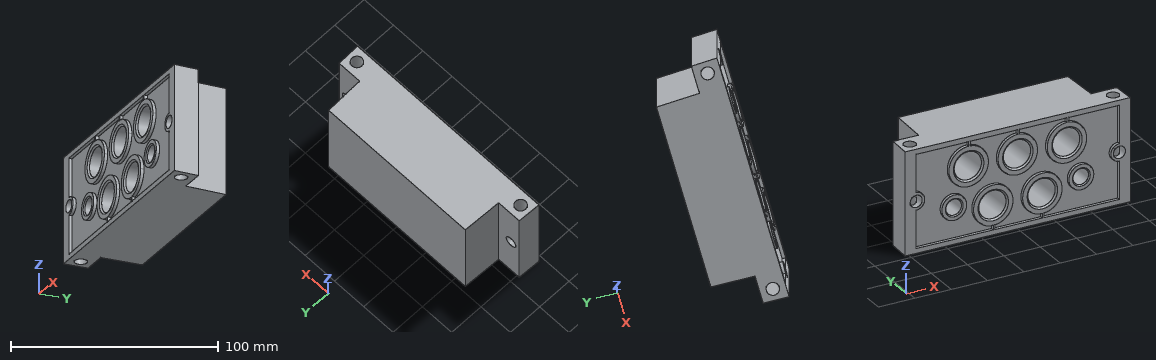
import cadquery as cq
import math

length = 124.0
depth = 35.0
height = 56.0
flange_depth = 13.0
body_length = 95.0
draft_angle = 2.0

rim_height = 2.7
recess_length = 111.8
recess_height = height - 2 * rim_height
recess_depth = 1.7

mount_x = recess_length / 2
front_hole_diameter = 6.6
front_boss_diameter = 9.4
cross_hole_diameter = 6.5
cross_hole_y = 6.5

port_pitch = 27.0
port_row_z = 12.0
large_collar_diameter = 21.7
large_mouth_diameter = 16.7
large_bore_diameter = 15.0
small_collar_diameter = 13.6
small_mouth_diameter = 9.8
small_bore_diameter = 8.5
small_port_x = 35.0
small_port_z = -8.3
bore_depth = 19.8

web_width = 1.0

upper_ports = [(i * port_pitch, port_row_z) for i in (-1, 0, 1)]
lower_ports = [(i * port_pitch, -port_row_z) for i in (-0.5, 0.5)]
large_ports = upper_ports + lower_ports
small_ports = [(side * small_port_x, small_port_z) for side in (-1, 1)]
mount_points = [(side * mount_x, 0) for side in (-1, 1)]


def cylinder_along_y(points, diameter, y_length):
    """Cylinders that start on the front face and run toward the back."""
    return cq.Workplane("XZ").pushPoints(points).circle(diameter / 2).extrude(-y_length)


def make_block():
    """Stepped block: wide flanges at the front, narrower body behind."""
    slope = math.tan(math.radians(draft_angle))
    flange_back_x = length / 2 - flange_depth * slope
    body_front_x = body_length / 2
    body_back_x = body_front_x - (depth - flange_depth) * slope
    right_side = [
        (length / 2, 0),
        (flange_back_x, flange_depth),
        (body_front_x, flange_depth),
        (body_back_x, depth),
    ]
    left_side = [(-x, y) for x, y in reversed(right_side)]
    outline = cq.Workplane("XY").polyline(right_side + left_side).close()
    return outline.extrude(height / 2, both=True)


def make_recess():
    """Material removed from the front face, leaving collars, bosses and webs standing."""
    recess = cq.Workplane("XZ").rect(recess_length, recess_height).extrude(-recess_depth)
    recess = recess.cut(cylinder_along_y(large_ports, large_collar_diameter, recess_depth))
    recess = recess.cut(cylinder_along_y(small_ports, small_collar_diameter, recess_depth))
    recess = recess.cut(cylinder_along_y(mount_points, front_boss_diameter, recess_depth))
    for x, z in large_ports:
        web_length = recess_height / 2 - port_row_z
        web_center = (x + web_width / 2, z + math.copysign(web_length / 2, z))
        web = cq.Workplane("XZ").center(*web_center).rect(web_width, web_length).extrude(-recess_depth)
        recess = recess.cut(web)
    return recess


def make_bores(points, bore_diameter, mouth_diameter):
    """Blind bores with a 45 degree chamfer at the mouth."""
    bore_radius = bore_diameter / 2
    mouth_radius = mouth_diameter / 2
    chamfer = mouth_radius - bore_radius
    half_section = [
        (0, 0),
        (mouth_radius, 0),
        (bore_radius, chamfer),
        (bore_radius, bore_depth),
        (0, bore_depth),
    ]
    bore = cq.Workplane("XY").polyline(half_section).close().revolve(360, (0, 0), (0, 1))
    bores = cq.Workplane("XY")
    for x, z in points:
        bores = bores.add(bore.translate((x, 0, z)))
    return bores.combine()


def make_cross_holes():
    """Vertical holes through both flanges."""
    points = [(x, cross_hole_y) for x, _ in mount_points]
    holes = cq.Workplane("XY").pushPoints(points).circle(cross_hole_diameter / 2)
    return holes.extrude(height / 2, both=True)


result = (
    make_block()
    .cut(make_recess())
    .cut(make_bores(large_ports, large_bore_diameter, large_mouth_diameter))
    .cut(make_bores(small_ports, small_bore_diameter, small_mouth_diameter))
    .cut(cylinder_along_y(mount_points, front_hole_diameter, flange_depth))
    .cut(make_cross_holes())
)